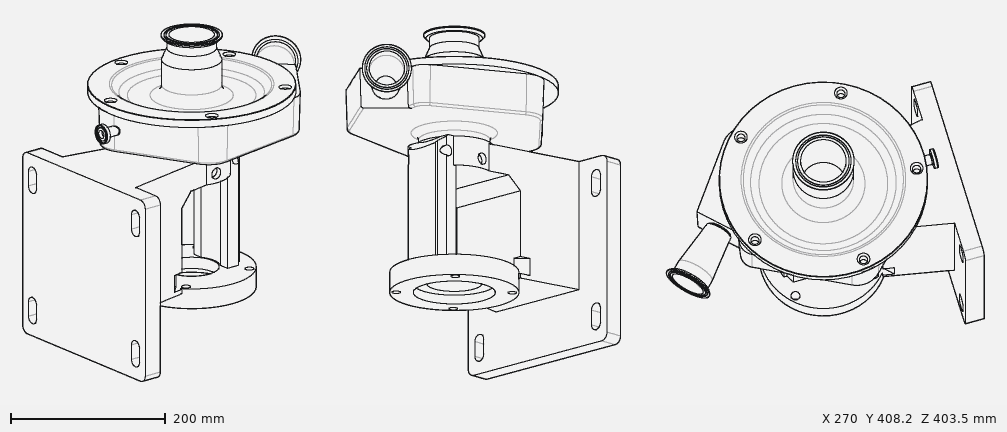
import cadquery as cq
import math


plate_size = 250.0
plate_thickness = 25.5
plate_front_y = -180.5
plate_back_y = plate_front_y + plate_thickness
plate_corner_radius = 10.0
slot_width = 16.0
slot_length = 36.0
slot_spacing_x = 210.0
slot_spacing_z = 179.5

hub_radius = 50.5
hub_top_z = 252.5
hub_bottom_z = 213.0
hub_hole_radius = 7.5
hub_hole_z = 226.2
hub_hole_depth = 8.0

arm_width_at_plate = 149.5
arm_start_y = -15.0
half_width_at_hub = math.sqrt(hub_radius**2 - arm_start_y**2)
arm_inner_y = -63.5
arm_bottom_z = 77.0
arm_chamfer = 18.5
notch_size = 14.5
notch_height = 23.0

ring_radius = 83.7
ring_bore_radius = 35.5
ring_pilot_radius = 53.0
ring_ledge_thickness = 15.5
ring_bottom_z = 56.0
ring_top_z = 83.5
ring_bolt_count = 4
ring_bolt_first_angle = 45
ring_bolt_radius = 75.0
ring_hole_radius = 5.7

post_width = 68.5
post_front_y = 32.0
post_inner_radius = 37.5
post_outer_radius = 61.0
rib_width = 48.0
rib_radius = 65.0
post_chamfer_y = 18.5
post_chamfer_z = 15.5
post_hole_diameter = 14.3
post_hole_y = 47.5
post_hole_z = 230.7

casing_bottom_z = 270.7
casing_side_distance = 115.0
casing_corner_radius = 33.5
upper_side_distance = 118.5
small_corner_radius = 20.5
outlet_flank_angle = 54
outlet_flank_distance = 140.5
outlet_block_trim = 8.0
outlet_block_inner_distance = 61.3
casing_draft = 1.7
casing_bottom_fillet = 3.3
neck_radius = 46.5
neck_fillet = 9.5

flange_diameter = 270.0
flange_radius = flange_diameter / 2
flange_bottom_z = 324.5
flange_top_z = 335.3
flange_edge_chamfer = 0.6
recess_floor_radius = 83.5
recess_floor_z = 319.7
recess_wall_angle = 45
recess_fillet = 15.5
recess_rim_radius = 106.5
recess_rim_fillet = 4.0
boss_fillet = 14.5
bolt_count = 5
bolt_first_angle = 45
bolt_circle_radius = 121.5
bolt_hole_radius = 5.5
bolt_hole_depth = 16.5
bolt_hole_tip_depth = 4.0
bolt_countersink_radius = 8.0

inlet_radius = 39.0
inlet_neck_radius = 32.3
inlet_bore_radius = 29.5
inlet_cone_bottom_z = 369.0
inlet_cone_top_z = 385.0
inlet_top_z = 403.5
inlet_rim_diameter = 79.5
inlet_rim_radius = inlet_rim_diameter / 2

outlet_angle = 135
outlet_offset = 90.5
outlet_z = 300.0
outlet_face_distance = 114.5
outlet_end_distance = 199.5
outlet_straight_length = 20.0
outlet_root_radius = 18.0
outlet_root_gap = 2.0
outlet_root_neck_radius = 16.5
outlet_radius = 25.5
outlet_wall = 2.5
outlet_rim_radius = 32.0

drain_radius = 6.5
drain_bore_radius = 5.5
drain_rim_radius = 12.5
drain_rim_thickness = 5.0
drain_collar_radius = 7.5
drain_collar_length = 1.5
drain_groove_radius = 10.2
drain_end_y = -151.5
drain_z = 301.0

rim_edge = 1.5
rim_cone = 3.3
groove_width = 2.5
groove_depth = 1.2


def polar(radius, angle):
    return (radius * math.cos(math.radians(angle)), radius * math.sin(math.radians(angle)))


def cylinder(radius, bottom_z, top_z):
    return cq.Workplane("XY").workplane(offset=bottom_z).circle(radius).extrude(top_z - bottom_z)


def revolve_profile(profile):
    """Close a profile and turn it about the vertical axis of its sketch plane."""
    return profile.close().revolve(360, (0, 0, 0), (0, 1, 0))


def mounting_plate():
    plate = (
        cq.Workplane("XY")
        .box(plate_size, plate_thickness, plate_size, centered=(True, False, False))
        .translate((0, plate_front_y, 0))
        .edges("|Y")
        .fillet(plate_corner_radius)
    )
    slots = (
        cq.Workplane("XZ", origin=(0, plate_front_y, plate_size / 2))
        .rarray(slot_spacing_x, slot_spacing_z, 2, 2)
        .slot2D(slot_length, slot_width, 90)
        .extrude(-plate_thickness)
    )
    return plate.cut(slots)


def arm():
    plan = (
        cq.Workplane("XY")
        .moveTo(-arm_width_at_plate / 2, plate_back_y)
        .lineTo(arm_width_at_plate / 2, plate_back_y)
        .lineTo(half_width_at_hub, arm_start_y)
        .lineTo(-half_width_at_hub, arm_start_y)
        .close()
        .extrude(plate_size)
    )
    side = (
        cq.Workplane("YZ")
        .moveTo(plate_back_y, arm_bottom_z)
        .lineTo(arm_inner_y, arm_bottom_z)
        .lineTo(arm_inner_y, hub_bottom_z - arm_chamfer)
        .lineTo(arm_inner_y + arm_chamfer, hub_bottom_z)
        .lineTo(arm_start_y, hub_bottom_z)
        .lineTo(arm_start_y, plate_size)
        .lineTo(plate_back_y, plate_size)
        .close()
        .extrude(arm_width_at_plate / 2, both=True)
    )
    return plan.intersect(side)


def notches():
    """Corner cuts that clear the ring bolts beside the arm."""
    width_slope = (arm_width_at_plate / 2 - half_width_at_hub) / (arm_start_y - plate_back_y)
    outer_y = arm_inner_y - notch_size
    outer_x = half_width_at_hub + width_slope * (arm_start_y - outer_y)
    notch = (
        cq.Workplane("XY", origin=(0, 0, ring_top_z))
        .moveTo(outer_x, outer_y)
        .lineTo(outer_x - notch_size, arm_inner_y)
        .lineTo(outer_x + notch_size, arm_inner_y)
        .lineTo(outer_x + notch_size, outer_y)
        .close()
        .extrude(notch_height)
    )
    return notch.union(notch.mirror("YZ"))


def hub():
    body = cylinder(hub_radius, hub_bottom_z, hub_top_z)
    for side in (-1, 1):
        hole = (
            cq.Workplane("YZ", origin=(side * hub_radius, 0, hub_hole_z))
            .circle(hub_hole_radius)
            .extrude(-side * hub_hole_depth)
        )
        body = body.cut(hole)
    return body


def post_slab(width, outer_radius):
    """Upright slab behind the pump axis with a round outer face."""
    depth = outer_radius - post_front_y
    height = hub_top_z - ring_top_z
    slab = (
        cq.Workplane("XY")
        .box(width, depth, height, centered=(True, False, False))
        .translate((0, post_front_y, ring_top_z))
    )
    return slab.intersect(cylinder(outer_radius, ring_top_z, hub_top_z))


def post():
    body = post_slab(post_width, post_outer_radius).union(post_slab(rib_width, rib_radius))
    body = body.cut(cylinder(post_inner_radius, ring_top_z, hub_bottom_z))
    top_chamfer = (
        cq.Workplane("YZ")
        .moveTo(rib_radius, hub_top_z)
        .lineTo(rib_radius - post_chamfer_y, hub_top_z)
        .lineTo(rib_radius, hub_top_z - post_chamfer_z)
        .close()
        .extrude(post_width, both=True)
    )
    return body.cut(top_chamfer)


def post_hole():
    return (
        cq.Workplane("YZ", origin=(0, post_hole_y, post_hole_z))
        .circle(post_hole_diameter / 2)
        .extrude(post_width, both=True)
    )


def motor_ring():
    ring = cylinder(ring_radius, ring_bottom_z, ring_top_z)
    ring = ring.cut(cylinder(ring_bore_radius, ring_bottom_z, ring_top_z))
    return ring.cut(cylinder(ring_pilot_radius, ring_bottom_z, ring_top_z - ring_ledge_thickness))


def ring_holes():
    return (
        cq.Workplane("XY", origin=(0, 0, ring_bottom_z))
        .polarArray(ring_bolt_radius, ring_bolt_first_angle, 360, ring_bolt_count)
        .circle(ring_hole_radius)
        .extrude(ring_top_z - ring_bottom_z)
    )


def bracket():
    arm_and_ring = arm().cut(notches()).union(motor_ring()).cut(ring_holes())
    hub_and_post = hub().union(post()).cut(post_hole())
    return mounting_plate().union(arm_and_ring).union(hub_and_post)


def meeting_point(first, second):
    """Where two walls meet; each is (angle of its normal, distance from the pump axis)."""
    (angle_1, distance_1), (angle_2, distance_2) = first, second
    a, b = math.radians(angle_1), math.radians(angle_2)
    turn = math.sin(b - a)
    x = (distance_1 * math.sin(b) - distance_2 * math.sin(a)) / turn
    y = (distance_2 * math.cos(a) - distance_1 * math.cos(b)) / turn
    return cq.Vector(x, y)


def rounded_outline(corners):
    """Closed outline through (point, radius) corners; radius 0 keeps a corner sharp."""
    outline = cq.Workplane("XY", origin=(0, 0, flange_bottom_z))
    for i, (corner, radius) in enumerate(corners):
        to_previous = (corners[i - 1][0] - corner).normalized()
        to_next = (corners[(i + 1) % len(corners)][0] - corner).normalized()
        half_angle = to_previous.getAngle(to_next) / 2
        setback = radius / math.tan(half_angle)
        start = corner + to_previous * setback
        go_to = outline.moveTo if i == 0 else outline.lineTo
        outline = go_to(start.x, start.y)
        if radius > 0:
            end = corner + to_next * setback
            bisector = (to_previous + to_next).normalized()
            middle = corner + bisector * (radius / math.sin(half_angle) - radius)
            outline = outline.threePointArc((middle.x, middle.y), (end.x, end.y))
    return outline.close()


def drafted_body(corners):
    """Casing body that narrows downwards and has a rounded bottom edge."""
    depth = flange_bottom_z - casing_bottom_z
    body = rounded_outline(corners).extrude(-depth, taper=casing_draft)
    return body.faces("<Z").edges().fillet(casing_bottom_fillet)


def casing():
    """Five-sided volute with an outlet block that ends in a flat upright face."""
    pitch = 360 / bolt_count
    right, upper, left, lower_left, lower_right = [
        (bolt_first_angle + pitch * (i - 0.5), casing_side_distance) for i in range(bolt_count)
    ]
    upper = (upper[0], upper_side_distance)
    volute = drafted_body(
        [
            (meeting_point(right, upper), casing_corner_radius),
            (meeting_point(upper, left), small_corner_radius),
            (meeting_point(left, lower_left), casing_corner_radius),
            (meeting_point(lower_left, lower_right), casing_corner_radius),
            (meeting_point(lower_right, right), casing_corner_radius),
        ]
    )

    flank = (outlet_flank_angle, outlet_flank_distance)
    beyond_face = (outlet_angle, outlet_face_distance + outlet_block_trim)
    inner_side = (outlet_flank_angle + 180, -outlet_block_inner_distance)
    block = drafted_body(
        [
            (meeting_point(right, flank), casing_corner_radius),
            (meeting_point(flank, beyond_face), 0),
            (meeting_point(beyond_face, inner_side), 0),
            (meeting_point(inner_side, right), 0),
        ]
    )
    behind_face = (
        cq.Workplane("XY")
        .box(flange_radius * 2, flange_radius * 4, flange_top_z, centered=(True, True, False))
        .translate((outlet_face_distance - flange_radius, 0, 0))
        .rotate((0, 0, 0), (0, 0, 1), outlet_angle)
    )
    return volute.union(block.intersect(behind_face))


def neck():
    """Round neck under the casing, flared where it meets the casing floor."""
    flare_bottom_z = casing_bottom_z - neck_fillet
    arc_reach = neck_fillet * (1 - math.sqrt(0.5))
    return revolve_profile(
        cq.Workplane("XZ")
        .moveTo(0, hub_top_z)
        .lineTo(neck_radius, hub_top_z)
        .lineTo(neck_radius, flare_bottom_z)
        .threePointArc(
            (neck_radius + arc_reach, casing_bottom_z - arc_reach),
            (neck_radius + neck_fillet, casing_bottom_z),
        )
        .lineTo(0, casing_bottom_z)
    )


def cover_recess():
    """Ring-shaped dish: a sloping outer wall, a flat floor and a flare around the inlet."""
    half_wall_angle = math.radians(recess_wall_angle) / 2

    def arc_point(radius, angle):
        return (radius * math.sin(angle), radius * (1 - math.cos(angle)))

    floor_mid = arc_point(recess_fillet, half_wall_angle)
    floor_end = arc_point(recess_fillet, 2 * half_wall_angle)
    rim_mid = arc_point(recess_rim_fillet, half_wall_angle)
    rim_end = arc_point(recess_rim_fillet, 2 * half_wall_angle)
    boss_reach = boss_fillet * (1 - math.sqrt(0.5))
    return revolve_profile(
        cq.Workplane("XZ")
        .moveTo(inlet_radius, flange_top_z)
        .lineTo(recess_rim_radius, flange_top_z)
        .threePointArc(
            (recess_rim_radius - rim_mid[0], flange_top_z - rim_mid[1]),
            (recess_rim_radius - rim_end[0], flange_top_z - rim_end[1]),
        )
        .lineTo(recess_floor_radius + floor_end[0], recess_floor_z + floor_end[1])
        .threePointArc(
            (recess_floor_radius + floor_mid[0], recess_floor_z + floor_mid[1]),
            (recess_floor_radius, recess_floor_z),
        )
        .lineTo(inlet_radius + boss_fillet, recess_floor_z)
        .threePointArc(
            (inlet_radius + boss_reach, recess_floor_z + boss_reach),
            (inlet_radius, recess_floor_z + boss_fillet),
        )
    )


def cover_bolt_holes():
    """Blind holes with a small countersink and a drill-point bottom."""
    hole = revolve_profile(
        cq.Workplane("XZ")
        .moveTo(0, flange_top_z)
        .lineTo(bolt_countersink_radius, flange_top_z)
        .lineTo(bolt_hole_radius, flange_top_z + bolt_hole_radius - bolt_countersink_radius)
        .lineTo(bolt_hole_radius, flange_top_z - bolt_hole_depth)
        .lineTo(0, flange_top_z - bolt_hole_depth - bolt_hole_tip_depth)
    ).val()
    pattern = cq.Workplane("XY").polarArray(bolt_circle_radius, bolt_first_angle, 360, bolt_count)
    return pattern.eachpoint(hole, combine=False)


def clamp_groove(plane, middle_radius):
    """Gasket groove cut into a clamp rim whose face lies on the plane."""
    return (
        cq.Workplane(plane)
        .circle(middle_radius + groove_width / 2)
        .circle(middle_radius - groove_width / 2)
        .extrude(-groove_depth)
    )


def add_clamp_rim(profile, rim_radius, end):
    """Continue a pipe profile through its clamp rim to the axis at the given end height."""
    return (
        profile.lineTo(rim_radius - rim_cone, end - rim_edge - rim_cone)
        .lineTo(rim_radius, end - rim_edge)
        .lineTo(rim_radius, end)
        .lineTo(0, end)
    )


def inlet():
    profile = (
        cq.Workplane("XZ")
        .moveTo(0, recess_floor_z)
        .lineTo(inlet_radius, recess_floor_z)
        .lineTo(inlet_radius, inlet_cone_bottom_z)
        .lineTo(inlet_neck_radius, inlet_cone_top_z)
        .lineTo(inlet_neck_radius, inlet_top_z - rim_edge - rim_cone)
    )
    pipe = revolve_profile(add_clamp_rim(profile, inlet_rim_radius, inlet_top_z))
    face = cq.Plane(origin=(0, 0, inlet_top_z))
    return pipe.cut(clamp_groove(face, (inlet_bore_radius + inlet_rim_radius) / 2))


def inlet_bore():
    return cylinder(inlet_bore_radius, recess_floor_z, inlet_top_z)


def outlet():
    """Tapered discharge pipe, turned about its own axis from the outlet face outwards."""
    along = cq.Vector(*polar(1, outlet_angle))
    axis_foot = cq.Vector(*polar(outlet_offset, outlet_angle - 90)) + cq.Vector(0, 0, outlet_z)
    across = cq.Vector(*polar(1, outlet_angle - 90))
    root = axis_foot + along * outlet_face_distance
    end = axis_foot + along * outlet_end_distance
    length = outlet_end_distance - outlet_face_distance
    cone_length = length - outlet_straight_length
    bore_radius = outlet_radius - outlet_wall

    profile_plane = cq.Plane(origin=root, xDir=across, normal=across.cross(along))
    profile = (
        cq.Workplane(profile_plane)
        .moveTo(0, -outlet_root_gap)
        .lineTo(outlet_root_neck_radius, -outlet_root_gap)
        .lineTo(outlet_root_neck_radius, outlet_root_gap)
        .lineTo(outlet_root_radius, outlet_root_gap)
        .lineTo(outlet_radius, cone_length)
        .lineTo(outlet_radius, length - rim_edge - rim_cone)
    )
    pipe = revolve_profile(add_clamp_rim(profile, outlet_rim_radius, length))
    bore = revolve_profile(
        cq.Workplane(profile_plane)
        .lineTo(outlet_root_neck_radius - outlet_wall, 0)
        .lineTo(bore_radius, cone_length)
        .lineTo(bore_radius, length)
        .lineTo(0, length)
    )
    face = cq.Plane(origin=end, xDir=across, normal=along)
    return pipe.cut(bore).cut(clamp_groove(face, (bore_radius + outlet_rim_radius) / 2))


def drain():
    """Small drain pipe at the front, with a collar behind its flat clamp rim."""
    face = cq.Plane(origin=(0, drain_end_y, drain_z), normal=(0, -1, 0))

    def disc(radius, length):
        return cq.Workplane(face).circle(radius).extrude(-length)

    length = -drain_end_y - casing_side_distance
    pipe = disc(drain_radius, length).union(disc(drain_rim_radius, drain_rim_thickness))
    pipe = pipe.union(disc(drain_collar_radius, drain_rim_thickness + drain_collar_length))
    return pipe.cut(disc(drain_bore_radius, length)).cut(clamp_groove(face, drain_groove_radius))


flange = cylinder(flange_radius, flange_bottom_z, flange_top_z)
flange = flange.faces(">Z").edges().chamfer(flange_edge_chamfer)
pump = casing().union(flange).cut(cover_recess()).cut(cover_bolt_holes())
pump = pump.union(neck()).union(inlet()).cut(inlet_bore())
pump = pump.union(outlet()).union(drain())
result = pump.union(bracket())